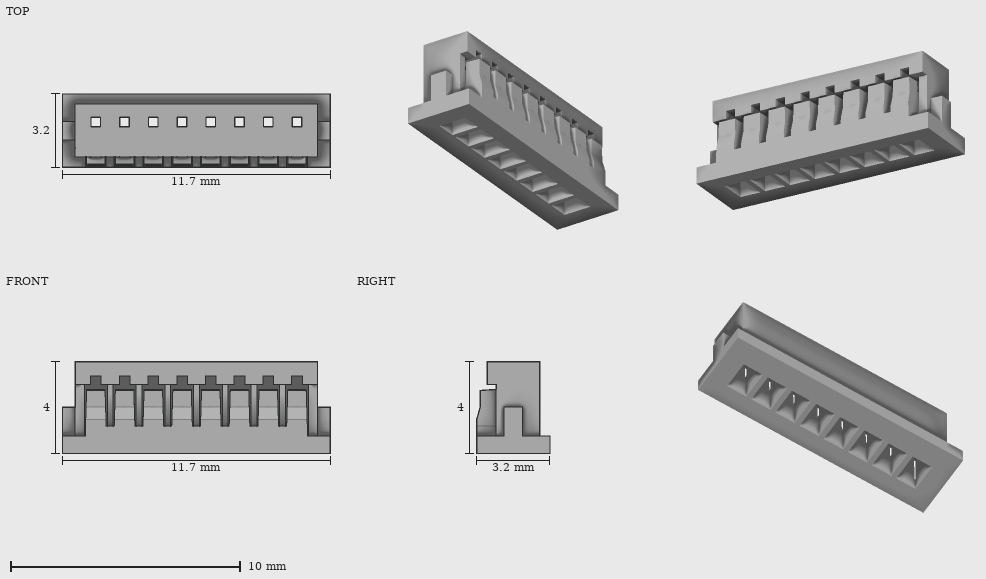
import cadquery as cq


position_count = 8
pitch = 1.25

base_length = 11.65
base_depth = 3.2
base_height = 0.775
base_front = -base_depth / 2

body_length = 10.55
body_height = 4.0
body_back_margin = 0.45
body_back = base_front + base_depth - body_back_margin
overhang_setback = 0.46
overhang_front = base_front + overhang_setback
overhang_bottom = 3.0
recess_setback = 0.85
recess_face = base_front + recess_setback

tab_setback = 1.2
tab_front = base_front + tab_setback
tab_depth = 0.8
tab_top = 2.02

tooth_root_width = 0.9
tooth_tip_width = 0.8
sill_top = 1.2
tooth_ramp_bottom = 1.48
tooth_ramp_top = tab_top
tooth_setback = 0.15
tooth_front = base_front + tooth_setback
tooth_front_height = 2.75
tooth_back_height = 2.8
sill_length = (position_count - 1) * pitch + tooth_root_width

rib_width = 0.25
cavity_width = pitch - rib_width
pin_hole_size = 0.4
pin_hole_setback = 1.98
pin_hole_y = base_front + pin_hole_setback
cavity_back = pin_hole_y + pin_hole_size / 2
notch_width = 0.46
notch_top = 3.375

position_xs = [(i - (position_count - 1) / 2) * pitch for i in range(position_count)]


def block(length, x_center, y_min, y_max, z_min, z_max):
    """Box centred on x_center along X, with explicit Y and Z limits."""
    return (
        cq.Workplane("XY")
        .box(length, y_max - y_min, z_max - z_min, centered=(True, False, False))
        .translate((x_center, y_min, z_min))
    )


def make_shell():
    """Base flange, end tabs, recessed body, overhanging top and tooth sill."""
    base = block(base_length, 0, base_front, base_front + base_depth, 0, base_height)
    tabs = block(base_length, 0, tab_front, tab_front + tab_depth, 0, tab_top)
    body = block(body_length, 0, recess_face, body_back, 0, body_height)
    overhang = block(body_length, 0, overhang_front, body_back, overhang_bottom, body_height)
    sill = block(sill_length, 0, base_front, recess_face, 0, sill_top)
    return base.union(tabs).union(body).union(overhang).union(sill)


def make_cavity(x_center):
    """Terminal cavity open below and at the front, with the notch and pin hole above it."""
    chamber = block(cavity_width, x_center, recess_face, cavity_back, 0, overhang_bottom)
    notch = block(notch_width, x_center, overhang_front, cavity_back, overhang_bottom, notch_top)
    pin_hole = block(
        pin_hole_size,
        x_center,
        pin_hole_y - pin_hole_size / 2,
        pin_hole_y + pin_hole_size / 2,
        overhang_bottom,
        body_height,
    )
    return chamber.union(notch).union(pin_hole)


def make_tooth(x_center):
    """Ramped latch tooth whose sides narrow upwards to the tip."""
    root_half = tooth_root_width / 2
    tip_half = tooth_tip_width / 2
    ramped_bar = (
        cq.Workplane("YZ")
        .moveTo(base_front, sill_top)
        .lineTo(base_front, tooth_ramp_bottom)
        .lineTo(tooth_front, tooth_ramp_top)
        .lineTo(tooth_front, tooth_front_height)
        .lineTo(recess_face, tooth_back_height)
        .lineTo(recess_face, sill_top)
        .close()
        .extrude(root_half, both=True)
    )
    drafted_sides = (
        cq.Workplane("XZ", origin=(0, recess_face, 0))
        .moveTo(-root_half, sill_top)
        .lineTo(root_half, sill_top)
        .lineTo(tip_half, tooth_back_height)
        .lineTo(-tip_half, tooth_back_height)
        .close()
        .extrude(recess_face - base_front)
    )
    return ramped_bar.intersect(drafted_sides).translate((x_center, 0, 0))


result = make_shell()
for x in position_xs:
    result = result.cut(make_cavity(x)).union(make_tooth(x))